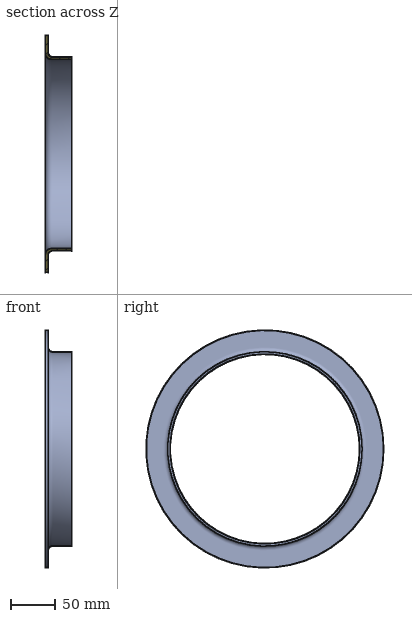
import cadquery as cq

flange_diameter = 268.0
tube_outer_diameter = 219.2
tube_inner_diameter = 213.3
total_length = 30.0
flange_thickness = 3.5
inner_bend_radius = 7.0
outer_bend_radius = 4.8

flange_radius = flange_diameter / 2
outer_radius = tube_outer_diameter / 2
inner_radius = tube_inner_diameter / 2
diagonal = 0.5 ** 0.5

inner_center = (inner_bend_radius, inner_radius + inner_bend_radius)
outer_center = (flange_thickness + outer_bend_radius, outer_radius + outer_bend_radius)


def bend_midpoint(center, bend_radius):
    """Point halfway along a quarter bend that faces -X and the axis."""
    offset = bend_radius * diagonal
    return (center[0] - offset, center[1] - offset)


section = (
    cq.Workplane("XY")
    .moveTo(0, flange_radius)
    .lineTo(flange_thickness, flange_radius)
    .lineTo(flange_thickness, outer_center[1])
    .threePointArc(bend_midpoint(outer_center, outer_bend_radius), (outer_center[0], outer_radius))
    .lineTo(total_length, outer_radius)
    .lineTo(total_length, inner_radius)
    .lineTo(inner_center[0], inner_radius)
    .threePointArc(bend_midpoint(inner_center, inner_bend_radius), (0, inner_center[1]))
    .close()
)

result = section.revolve(360, (0, 0, 0), (1, 0, 0))